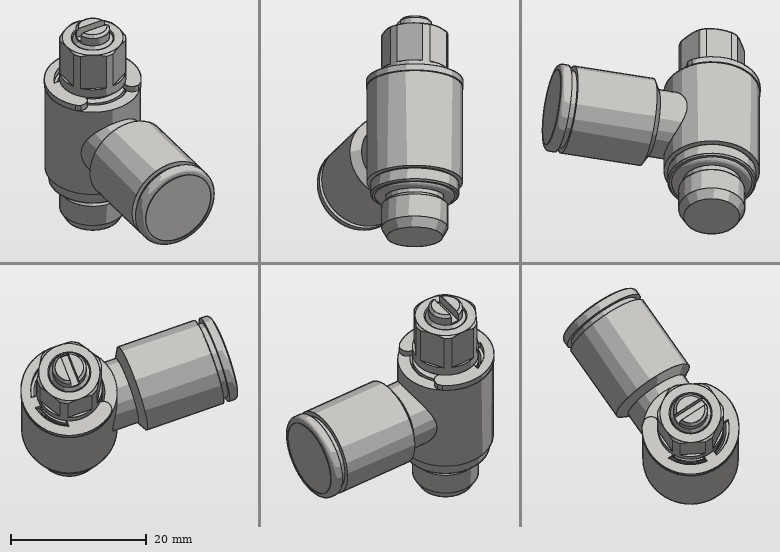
import cadquery as cq
import math

THREAD_DIA = 9.75
THREAD_END_DIA = 8.2
THREAD_CHAMFER_TOP_Z = 1.43
THREAD_TOP_Z = 4.9
NECK_DIA = 8.5
NECK_BOTTOM_Z = 5.47
COLLAR_DIA = 13.0
COLLAR_BOTTOM_Z = 6.45
COLLAR_TOP_Z = 8.6
COLLAR_CHAMFER = 0.25
SHANK_DIA = 9.75
GROOVE_DIA = 7.5
GROOVE_BOTTOM_Z = 23.55
GROOVE_TOP_Z = 24.58
HEX_BOTTOM_Z = 26.0
HEX_ACROSS_FLATS = 8.98
HEAD_TOP_Z = 32.0
HEAD_CHAMFER_ANGLE = 30.0

SEAL_SECTION_DIA = 1.65
SEAL_Z = 6.65

SCREW_DIA = 6.0
SCREW_TIP_DIA = 5.0
SCREW_BOTTOM_Z = 25.5
SCREW_TIP_BOTTOM_Z = 32.25
SCREW_TOP_Z = 34.0
SCREW_TOP_CHAMFER = 0.4
SCREW_SLOT_WIDTH = 1.22
SCREW_SLOT_DEPTH = 1.45
SCREW_HOLE_RIM_DIA = 6.32

BARREL_DIA = 14.08
BARREL_TOP_Z = 23.5
BARREL_RIM_DIA = 10.47
BARREL_RIM_DEPTH = 0.58
ARM_Z = 16.0
ARM_NECK_DIA = 10.0
ARM_NECK_END_X = 9.0
SLEEVE_DIA = 13.0
SLEEVE_START_X = 9.9
SLEEVE_END_X = 21.85

BUTTON_SHANK_DIA = 11.53
BUTTON_SHANK_START_X = 18.45
BUTTON_FLANGE_START_X = 22.78
BUTTON_FLANGE_END_X = 24.2
BUTTON_FACE_DIA = 11.22
BUTTON_END_X = 24.3
BUTTON_EDGE_RADIUS = 0.6

CLIP_DIA = 14.28
CLIP_BORE_DIA = 7.6
CLIP_TOP_Z = 24.5
CLIP_WINDOW_DIA = 11.35
CLIP_WINDOW_MAX_X = -2.05
CLIP_WINDOW_MIN_Y = 0.85
CLIP_MOUTH_HALF_WIDTH = 3.33
CLIP_TIP_X = 4.85
CLIP_TIP_RADIUS = 1.22
CLIP_TIP_BEVEL_Y = 4.95
CLIP_TIP_BEVEL_RUN = 1.02
CLIP_TIP_BEVEL_RISE = 1.43


def turned(profile):
    """Solid of revolution about Z from (radius, height) points."""
    return cq.Workplane("XZ").polyline(profile).close().revolve(360, (0, 0, 0), (0, 1, 0))


def disc(dia, bottom_z, top_z):
    """Upright cylinder on the Z axis."""
    return cq.Workplane("XY").workplane(offset=bottom_z).circle(dia / 2).extrude(top_z - bottom_z)


def arm_cylinder(dia, start_x, end_x):
    """Cylinder on the axis of the arm."""
    plane = cq.Workplane("YZ", origin=(start_x, 0, ARM_Z))
    return plane.circle(dia / 2).extrude(end_x - start_x)


def seal_seat():
    """Ring-shaped recess in the collar that holds the upper part of the seal."""
    seat_top_z = SEAL_Z + SEAL_SECTION_DIA / 2
    outer = disc(NECK_DIA + 2 * SEAL_SECTION_DIA, COLLAR_BOTTOM_Z, seat_top_z)
    return outer.cut(disc(NECK_DIA, COLLAR_BOTTOM_Z, seat_top_z))


def head_envelope():
    """Hexagon above the round base, with its corners still sharp."""
    across_corners = HEX_ACROSS_FLATS / math.cos(math.pi / 6)
    plane = cq.Workplane("XY").workplane(offset=HEX_BOTTOM_Z)
    return plane.polygon(6, across_corners).extrude(HEAD_TOP_Z - HEX_BOTTOM_Z)


def screw_hole():
    """Hole for the adjusting screw, countersunk at 45 degrees."""
    rim_chamfer = (SCREW_HOLE_RIM_DIA - SCREW_DIA) / 2
    hole = disc(SCREW_DIA, SCREW_BOTTOM_Z, HEAD_TOP_Z)
    countersink = turned([
        (0, HEAD_TOP_Z - rim_chamfer),
        (SCREW_DIA / 2, HEAD_TOP_Z - rim_chamfer),
        (SCREW_HOLE_RIM_DIA / 2, HEAD_TOP_Z),
        (0, HEAD_TOP_Z),
    ])
    return hole.union(countersink)


def make_bolt():
    head_chamfer_width = (SHANK_DIA - HEX_ACROSS_FLATS) / 2
    head_chamfer_height = head_chamfer_width * math.tan(math.radians(HEAD_CHAMFER_ANGLE))
    body = turned([
        (0, 0),
        (THREAD_END_DIA / 2, 0),
        (THREAD_DIA / 2, THREAD_CHAMFER_TOP_Z),
        (THREAD_DIA / 2, THREAD_TOP_Z),
        (NECK_DIA / 2, NECK_BOTTOM_Z),
        (NECK_DIA / 2, COLLAR_BOTTOM_Z),
        (COLLAR_DIA / 2 - COLLAR_CHAMFER, COLLAR_BOTTOM_Z),
        (COLLAR_DIA / 2, COLLAR_BOTTOM_Z + COLLAR_CHAMFER),
        (COLLAR_DIA / 2, COLLAR_TOP_Z - COLLAR_CHAMFER),
        (COLLAR_DIA / 2 - COLLAR_CHAMFER, COLLAR_TOP_Z),
        (SHANK_DIA / 2, COLLAR_TOP_Z),
        (SHANK_DIA / 2, GROOVE_BOTTOM_Z),
        (GROOVE_DIA / 2, GROOVE_BOTTOM_Z),
        (GROOVE_DIA / 2, GROOVE_TOP_Z),
        (SHANK_DIA / 2, GROOVE_TOP_Z),
        (SHANK_DIA / 2, HEAD_TOP_Z - head_chamfer_height),
        (HEX_ACROSS_FLATS / 2, HEAD_TOP_Z),
        (0, HEAD_TOP_Z),
    ])
    flat_waste = disc(2 * SHANK_DIA, HEX_BOTTOM_Z, HEAD_TOP_Z).cut(head_envelope())
    return body.cut(flat_waste).cut(seal_seat()).cut(screw_hole())


def make_seal():
    """Ring of round section that hugs the neck, half sunk in the collar."""
    centre_radius = (NECK_DIA + SEAL_SECTION_DIA) / 2
    section = cq.Workplane("XZ").center(centre_radius, SEAL_Z).circle(SEAL_SECTION_DIA / 2)
    return section.revolve(360, (-centre_radius, 0, 0), (-centre_radius, 1, 0))


def make_screw():
    cone_height = (SCREW_DIA - SCREW_TIP_DIA) / 2
    body = turned([
        (0, SCREW_BOTTOM_Z),
        (SCREW_DIA / 2, SCREW_BOTTOM_Z),
        (SCREW_DIA / 2, SCREW_TIP_BOTTOM_Z - cone_height),
        (SCREW_TIP_DIA / 2, SCREW_TIP_BOTTOM_Z),
        (SCREW_TIP_DIA / 2, SCREW_TOP_Z - SCREW_TOP_CHAMFER),
        (SCREW_TIP_DIA / 2 - SCREW_TOP_CHAMFER, SCREW_TOP_Z),
        (0, SCREW_TOP_Z),
    ])
    slot_plane = cq.Workplane("XY").workplane(offset=SCREW_TOP_Z)
    slot = slot_plane.rect(SCREW_SLOT_WIDTH, SCREW_DIA).extrude(-SCREW_SLOT_DEPTH)
    return body.cut(slot)


def make_housing():
    barrel = disc(BARREL_DIA, COLLAR_TOP_Z, BARREL_TOP_Z)
    arm = cq.Workplane("XZ").polyline([
        (0, ARM_Z),
        (0, ARM_Z + ARM_NECK_DIA / 2),
        (ARM_NECK_END_X, ARM_Z + ARM_NECK_DIA / 2),
        (SLEEVE_START_X, ARM_Z + SLEEVE_DIA / 2),
        (SLEEVE_END_X, ARM_Z + SLEEVE_DIA / 2),
        (SLEEVE_END_X, ARM_Z),
    ]).close().revolve(360, (0, ARM_Z, 0), (1, ARM_Z, 0))
    bore = turned([
        (0, COLLAR_TOP_Z),
        (SHANK_DIA / 2, COLLAR_TOP_Z),
        (SHANK_DIA / 2, BARREL_TOP_Z - BARREL_RIM_DEPTH),
        (BARREL_RIM_DIA / 2, BARREL_TOP_Z),
        (0, BARREL_TOP_Z),
    ])
    button_bore = arm_cylinder(BUTTON_SHANK_DIA, BUTTON_SHANK_START_X, SLEEVE_END_X)
    return barrel.union(arm).cut(bore).cut(button_bore)


def make_button():
    shank = arm_cylinder(BUTTON_SHANK_DIA, BUTTON_SHANK_START_X, BUTTON_FLANGE_START_X)
    flange = arm_cylinder(SLEEVE_DIA, BUTTON_FLANGE_START_X, BUTTON_FLANGE_END_X)
    flange = flange.faces(">X").edges().fillet(BUTTON_EDGE_RADIUS)
    raised_face = arm_cylinder(BUTTON_FACE_DIA, BUTTON_FLANGE_END_X, BUTTON_END_X)
    return shank.union(flange).union(raised_face)


def clip_mouth(thickness):
    """Opening towards +X between the two rounded tips, as one half mirrored in the XZ plane."""
    arc_centre_x = CLIP_TIP_X - CLIP_TIP_RADIUS
    arc_end_y = CLIP_MOUTH_HALF_WIDTH + CLIP_TIP_RADIUS
    diagonal = CLIP_TIP_RADIUS * math.sqrt(0.5)
    bevel_end_y = CLIP_TIP_BEVEL_Y + CLIP_TIP_BEVEL_RISE
    half = (
        cq.Workplane("XY")
        .workplane(offset=GROOVE_BOTTOM_Z)
        .lineTo(0, CLIP_MOUTH_HALF_WIDTH)
        .lineTo(arc_centre_x, CLIP_MOUTH_HALF_WIDTH)
        .threePointArc((arc_centre_x + diagonal, arc_end_y - diagonal), (CLIP_TIP_X, arc_end_y))
        .lineTo(CLIP_TIP_X, CLIP_TIP_BEVEL_Y)
        .lineTo(CLIP_TIP_X - CLIP_TIP_BEVEL_RUN, bevel_end_y)
        .lineTo(CLIP_DIA, bevel_end_y)
        .lineTo(CLIP_DIA, 0)
        .close()
        .extrude(thickness)
    )
    return half.union(half.mirror("XZ"))


def clip_window(thickness, side):
    """Curved window beside the head, on the +Y (side = 1) or -Y (side = -1) half."""
    radius = CLIP_WINDOW_DIA / 2
    width = CLIP_WINDOW_MAX_X + radius
    height = radius - CLIP_WINDOW_MIN_Y
    centre = (-radius + width / 2, side * (CLIP_WINDOW_MIN_Y + height / 2))
    plane = cq.Workplane("XY").workplane(offset=GROOVE_BOTTOM_Z)
    return disc(CLIP_WINDOW_DIA, GROOVE_BOTTOM_Z, CLIP_TOP_Z).intersect(
        plane.center(*centre).rect(width, height).extrude(thickness)
    )


def make_clip():
    thickness = CLIP_TOP_Z - GROOVE_BOTTOM_Z
    clip = disc(CLIP_DIA, GROOVE_BOTTOM_Z, CLIP_TOP_Z)
    clip = clip.cut(disc(CLIP_BORE_DIA, GROOVE_BOTTOM_Z, CLIP_TOP_Z))
    clip = clip.cut(clip_mouth(thickness))
    for side in (1, -1):
        clip = clip.cut(clip_window(thickness, side))
    return clip


bolt = make_bolt()
seal = make_seal()
screw = make_screw()
housing = make_housing()
button = make_button()
clip = make_clip()

result = cq.Compound.makeCompound([
    bolt.val(),
    seal.val(),
    screw.val(),
    housing.val(),
    button.val(),
    clip.val(),
])